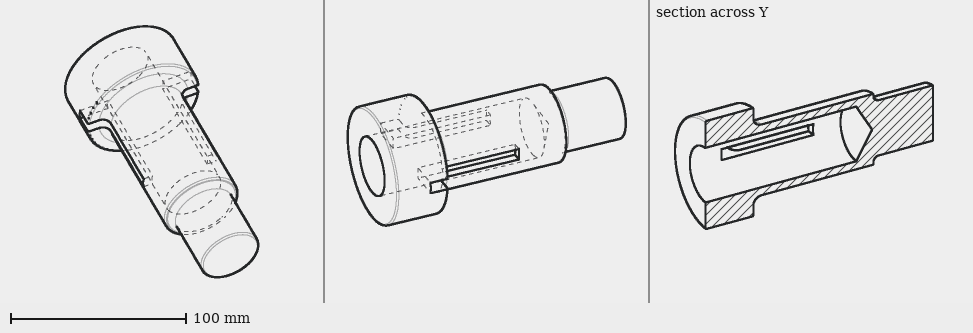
import cadquery as cq
import math

head_length = 32.0
shaft_end = 111.7
total_length = 151.2

head_diameter = 70.0
shaft_diameter = 46.0
spigot_diameter = 36.0

edge_round = 1.0
head_fillet = 5.0
spigot_fillet = 3.3

bore_diameter = 35.0
bore_depth = 100.0
drill_point_angle = 118.0

slot_start = 21.0
slot_end = 81.8
slot_height = 7.0


def turned_body():
    """Stepped body revolved about X, with rounded outer edges and filleted inner corners."""
    head_radius = head_diameter / 2
    shaft_radius = shaft_diameter / 2
    spigot_radius = spigot_diameter / 2

    profile = (
        cq.Workplane("XY")
        .lineTo(0, head_radius - edge_round)
        .radiusArc((edge_round, head_radius), edge_round)
        .lineTo(head_length - edge_round, head_radius)
        .radiusArc((head_length, head_radius - edge_round), edge_round)
        .lineTo(head_length, shaft_radius + head_fillet)
        .radiusArc((head_length + head_fillet, shaft_radius), -head_fillet)
        .lineTo(shaft_end - edge_round, shaft_radius)
        .radiusArc((shaft_end, shaft_radius - edge_round), edge_round)
        .lineTo(shaft_end, spigot_radius + spigot_fillet)
        .radiusArc((shaft_end + spigot_fillet, spigot_radius), -spigot_fillet)
        .lineTo(total_length - edge_round, spigot_radius)
        .radiusArc((total_length, spigot_radius - edge_round), edge_round)
        .lineTo(total_length, 0)
        .close()
    )
    return profile.revolve(360, (0, 0, 0), (1, 0, 0))


def bore():
    """Cylindrical bore from the head face, ending in a cone."""
    bore_radius = bore_diameter / 2
    point_length = bore_radius / math.tan(math.radians(drill_point_angle / 2))
    return (
        cq.Workplane("XY")
        .lineTo(0, bore_radius)
        .lineTo(bore_depth, bore_radius)
        .lineTo(bore_depth + point_length, 0)
        .close()
        .revolve(360, (0, 0, 0), (1, 0, 0))
    )


def through_slot():
    """Square-ended slot centred on the axis, running right through along Y."""
    return (
        cq.Workplane("XY")
        .box(slot_end - slot_start, head_diameter, slot_height)
        .translate(((slot_start + slot_end) / 2, 0, 0))
    )


result = turned_body().cut(bore()).cut(through_slot())